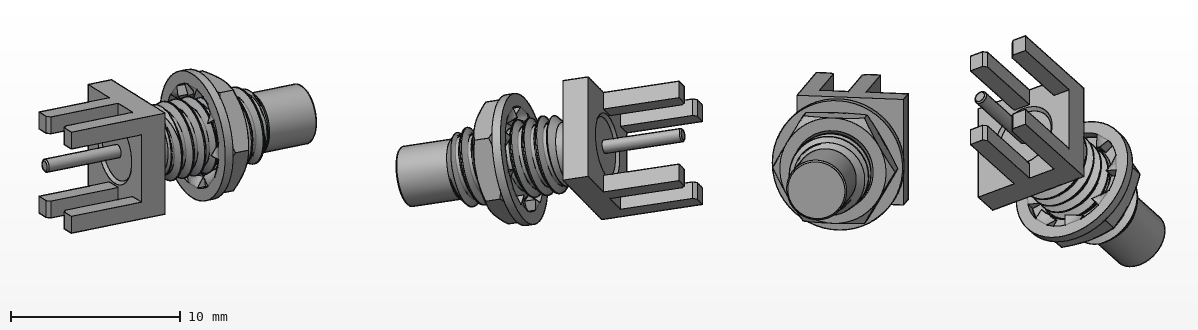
import cadquery as cq
import math


total_length = 17.45
leg_length = 4.76
flange_thickness = 1.59
neck_length = 1.0
thread_length = 6.88
washer_front = 10.02
washer_thickness = 0.54
nut_height = 1.47

flange_back = leg_length + flange_thickness
thread_start = flange_back + neck_length
thread_end = thread_start + thread_length
nut_front = washer_front + washer_thickness
nut_back = nut_front + nut_height

flange_side = 6.37
leg_width = 1.06
leg_chamfer = 0.21
middle_leg_right = 0.4
pin_radius = 0.4
pin_chamfer = 0.09
recess_mouth_radius = 1.99
recess_floor_radius = 1.8
recess_depth = 0.2

barrel_radius = 1.8
barrel_chamfer = 0.09
thread_root_radius = 1.92
thread_crest_radius = 2.34
thread_pitch = 0.79
thread_crest_width = 0.09
thread_flank_angle = 30.0
flank_curve_steps = 10
thread_crest_station = 7.97

nut_across_flats = 6.35
nut_chamfer_angle = 30.0
nut_countersink_radius = 2.4

washer_radius = 3.9
washer_bore_radius = 3.14
tooth_count = 8
tooth_tip_radius = 2.51
tooth_first_angle = 36.0
tooth_width_angle = 20.0
tooth_rise = 0.14
tooth_drop = 0.49

overlap = 0.09


def revolve_about_y(points):
    """Revolve a closed (radius, station) outline about the Y axis."""
    return cq.Workplane("XY").polyline(points).close().revolve(360, (0, 0), (0, 1))


def polar_point(radius, angle):
    """Plane point at a radius and an angle in degrees."""
    return radius * math.cos(math.radians(angle)), radius * math.sin(math.radians(angle))


def make_flange():
    flange = cq.Workplane("XY").box(flange_side, flange_thickness, flange_side)
    flange = flange.translate((0, leg_length + flange_thickness / 2, 0))
    recess = revolve_about_y([
        (0, leg_length),
        (recess_mouth_radius, leg_length),
        (recess_floor_radius, leg_length + recess_depth),
        (0, leg_length + recess_depth),
    ])
    return flange.cut(recess)


def make_leg(left, chamfered_edge, bottom):
    leg = cq.Workplane("XY").box(leg_width, leg_length + overlap, leg_width, centered=False)
    leg = leg.faces("<Y").edges(chamfered_edge).chamfer(leg_chamfer)
    return leg.translate((left, 0, bottom))


def make_legs():
    """Four legs: a pair at the middle and a pair at the +X side, chamfered towards each other."""
    half_side = flange_side / 2
    legs = cq.Workplane("XY")
    for bottom in (-half_side, half_side - leg_width):
        legs = legs.add(make_leg(middle_leg_right - leg_width, ">X", bottom))
        legs = legs.add(make_leg(half_side - leg_width, "<X", bottom))
    return legs.combine()


def make_pin():
    return revolve_about_y([
        (0, 0),
        (pin_radius - pin_chamfer, 0),
        (pin_radius, pin_chamfer),
        (pin_radius, leg_length + recess_depth + overlap),
        (0, leg_length + recess_depth + overlap),
    ])


def make_barrel():
    return revolve_about_y([
        (0, flange_back - overlap),
        (barrel_radius, flange_back - overlap),
        (barrel_radius, total_length - barrel_chamfer),
        (barrel_radius - barrel_chamfer, total_length),
        (0, total_length),
    ])


def make_thread():
    """Right-hand threaded bar, trimmed at both ends by 45 degree cones."""
    depth = thread_crest_radius - thread_root_radius
    flank_width = depth * math.tan(math.radians(thread_flank_angle))
    crest_angle = 360 * (thread_crest_width / 2) / thread_pitch
    root_angle = crest_angle + 360 * flank_width / thread_pitch

    def flank(side):
        """Spiral from crest to root, the trace of a straight flank across the axis."""
        def point(t):
            angle = crest_angle + t * (root_angle - crest_angle)
            return polar_point(thread_crest_radius - t * depth, side * angle)
        return cq.Workplane("XY").parametricCurve(point, N=flank_curve_steps, makeWire=False).val()

    crest = cq.Edge.makeCircle(thread_crest_radius, angle1=-crest_angle, angle2=crest_angle)
    root = cq.Edge.makeCircle(thread_root_radius, angle1=root_angle, angle2=360 - root_angle)
    outline = cq.Wire.assembleEdges([crest, flank(1), root, flank(-1)])

    turns_before = math.ceil((thread_crest_station - thread_start) / thread_pitch)
    bar_start = thread_crest_station - turns_before * thread_pitch
    turns = math.ceil((thread_end - bar_start) / thread_pitch)
    bar = cq.Workplane("XY").add(outline).toPending().twistExtrude(turns * thread_pitch, 360 * turns)
    bar = bar.rotate((0, 0, 0), (1, 0, 0), -90).translate((0, bar_start, 0))

    envelope_radius = thread_crest_radius + overlap
    lead_in = envelope_radius - barrel_radius
    envelope = revolve_about_y([
        (0, thread_start),
        (barrel_radius, thread_start),
        (envelope_radius, thread_start + lead_in),
        (envelope_radius, thread_end - lead_in),
        (barrel_radius, thread_end),
        (0, thread_end),
    ])
    return bar.intersect(envelope)


def make_nut():
    """Hexagon with corners on X, conical corner chamfers and a countersink at each face."""
    half_flats = nut_across_flats / 2
    corner_radius = half_flats / math.cos(math.radians(30))
    hexagon = (
        cq.Workplane("XZ", origin=(0, nut_back, 0))
        .polygon(6, 2 * corner_radius)
        .extrude(nut_height)
    )
    chamfer_height = (corner_radius - half_flats) * math.tan(math.radians(nut_chamfer_angle))
    countersink_depth = nut_countersink_radius - thread_root_radius + overlap
    core_radius = nut_countersink_radius - countersink_depth
    turned_shape = revolve_about_y([
        (0, nut_front + countersink_depth),
        (core_radius, nut_front + countersink_depth),
        (nut_countersink_radius, nut_front),
        (half_flats, nut_front),
        (corner_radius, nut_front + chamfer_height),
        (corner_radius, nut_back - chamfer_height),
        (half_flats, nut_back),
        (nut_countersink_radius, nut_back),
        (core_radius, nut_back - countersink_depth),
        (0, nut_back - countersink_depth),
    ])
    return hexagon.intersect(turned_shape)


def tooth_section(angle, tip_station):
    """Radial section of a tooth whose front edge runs from the washer face to tip_station."""
    outline = [
        (washer_bore_radius + overlap, washer_front),
        (washer_bore_radius, washer_front),
        (tooth_tip_radius, tip_station),
        (tooth_tip_radius, nut_front),
        (washer_bore_radius + overlap, nut_front),
    ]
    points = []
    for radius, station in outline:
        x, z = polar_point(radius, angle)
        points.append(cq.Vector(x, station, z))
    return cq.Wire.makePolygon(points, close=True)


def make_washer():
    """Flat ring with twisted teeth: one edge stands proud of the face, the other sinks."""
    washer = (
        cq.Workplane("XZ", origin=(0, nut_front, 0))
        .circle(washer_radius)
        .circle(washer_bore_radius)
        .extrude(washer_thickness)
    )
    for index in range(tooth_count):
        proud_angle = tooth_first_angle + index * 360 / tooth_count
        proud = tooth_section(proud_angle, washer_front - tooth_rise)
        sunk = tooth_section(proud_angle + tooth_width_angle, washer_front + tooth_drop)
        washer = washer.union(cq.Workplane(cq.Solid.makeLoft([proud, sunk], True)))
    return washer


result = make_barrel().union(make_thread())
result = result.union(make_nut())
result = result.union(make_washer())
result = result.union(make_flange())
result = result.union(make_legs())
result = result.union(make_pin())